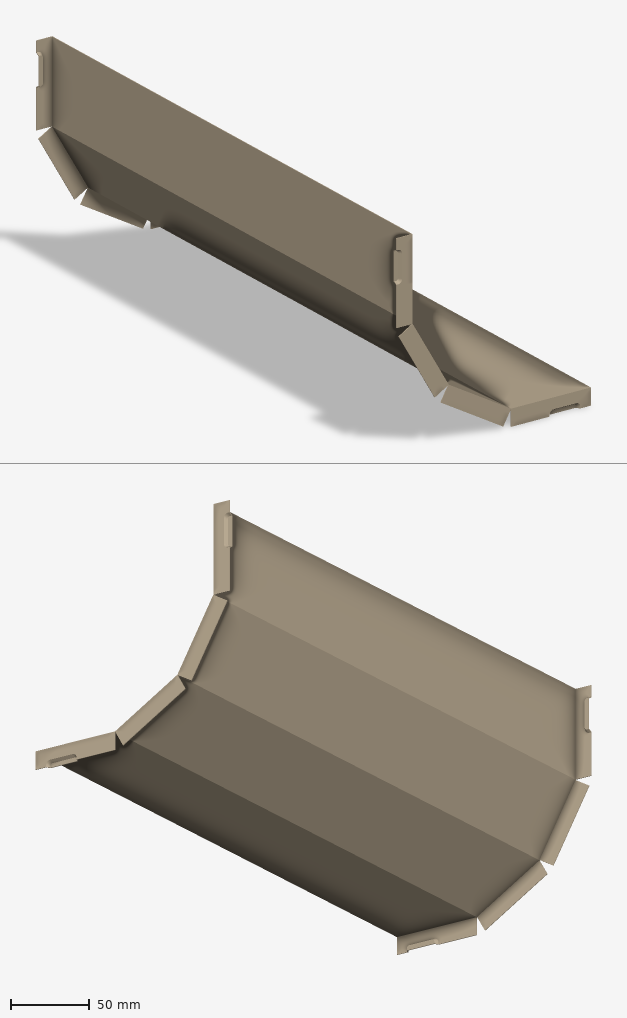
import cadquery as cq
import math

length = 400.0
overall = 149.95
sheet = 0.6
tab_height = 12.5
middle_lean = 0.15

fold_angle = 30.0
middle_width = 55.6
fold_run = middle_width * math.cos(math.radians(fold_angle))
fold_rise = middle_width * math.sin(math.radians(fold_angle))
end_width = overall - tab_height - fold_run - fold_rise

dimple_offset = 8.3
dimple_length = 23.5
dimple_height = 4.3
dimple_depth = 2.6
dimple_corner = 3.0
dimple_taper = 30.0
skin_growth = sheet * math.tan(math.radians(90 - dimple_taper) / 2)

corners = [
    (tab_height, overall),
    (tab_height, overall - end_width),
    (tab_height + fold_rise, tab_height + fold_rise),
    (overall - end_width, tab_height),
    (overall, tab_height),
]


def find_convex_corners():
    """Corners of the profile on the convex side, one sheet thickness out and mitred at the folds."""
    half_fold = math.radians(fold_angle / 2)
    miter = sheet * math.tan(half_fold)
    diagonal = sheet / math.cos(half_fold) * math.sqrt(0.5)
    shifts = [(-sheet, 0), (-sheet, -miter), (-diagonal, -diagonal), (-miter, -sheet), (0, -sheet)]
    return [(y + dy, z + dz) for (y, z), (dy, dz) in zip(corners, shifts)]


def make_dimple_block(growth):
    """Tapered, round-cornered block rising along +Z above y = 0, its outline widened by the growth."""
    straight_length = dimple_length - 2 * dimple_corner
    straight_height = 2 * (dimple_height - dimple_corner)
    block = (
        cq.Workplane("XY")
        .rect(straight_length, straight_height)
        .offset2D(dimple_corner + growth)
        .extrude(dimple_depth, taper=dimple_taper)
    )
    below_edge = cq.Workplane("XY").box(
        2 * dimple_length, 2 * dimple_height, 2 * dimple_depth, centered=(True, False, True)
    )
    return block.cut(below_edge.translate((0, -2 * dimple_height, 0)))


def make_tab(width, lean):
    """Plain tab: X along the panel, Y from free edge to panel, Z inward from the part's end."""
    section = [(0, -lean), (tab_height, 0), (tab_height, sheet), (0, sheet - lean)]
    return cq.Workplane("YZ").polyline(section).close().extrude(width)


def press_dimple(tab, dimple_center):
    """Push a dimple inward at the tab's free edge, keeping the sheet thickness."""
    hollow = make_dimple_block(0).translate((dimple_center, 0, 0))
    skin = make_dimple_block(skin_growth).translate((dimple_center, 0, sheet))
    return tab.union(skin).cut(hollow)


def place_tab(tab, start, end):
    """Stand a tab at the panels' near edge, under the panel that runs from start to end."""
    width = math.dist(start, end)
    along_y = (end[0] - start[0]) / width
    along_z = (end[1] - start[1]) / width
    free_corner = (middle_lean, start[0] + along_z * tab_height, start[1] - along_y * tab_height)
    plane = cq.Plane(origin=free_corner, xDir=(0, along_y, along_z), normal=(1, 0, 0))
    return tab.val().moved(plane.location)


def make_panels():
    """Folded sheet along X, shorter than the part by the splay of the middle tabs."""
    outline = corners + find_convex_corners()[::-1]
    panels = cq.Workplane("YZ").polyline(outline).close().extrude(length - 2 * middle_lean)
    return panels.translate((middle_lean, 0, 0))


dimple_center = dimple_offset + dimple_length / 2
end_tab = make_tab(end_width, 0)
upright_tab = press_dimple(end_tab, dimple_center)
floor_tab = press_dimple(end_tab, end_width - dimple_center)
middle_tab = make_tab(middle_width, middle_lean)
tabs = [upright_tab, middle_tab, middle_tab, floor_tab]

result = make_panels()
for tab, start, end in zip(tabs, corners, corners[1:]):
    near_tab = place_tab(tab, start, end)
    far_tab = near_tab.mirror("YZ", (length / 2, 0, 0))
    result = result.union(cq.Workplane(near_tab)).union(cq.Workplane(far_tab))